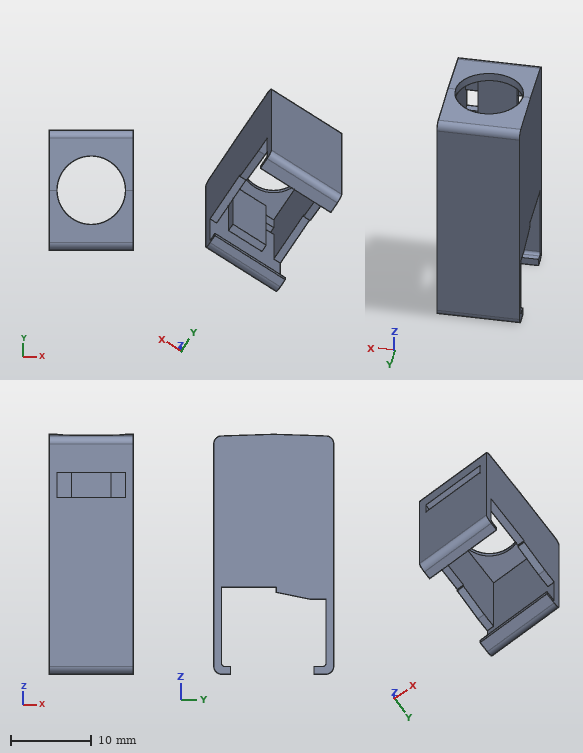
import cadquery as cq

width = 10.5
depth = 15.0
height = 30.0
wall = 1.0
shoulder_height = 29.75
outer_radius = wall
inner_radius = 0.4

back_hook_tip = 5.0
front_hook_tip = -5.4
mouth_high = 10.85
mouth_low = 9.35
slope_top = 10.23
slope_start_y = 4.55
step_y = 0.3

window_bottom = 22.1
window_height = 3.1
rib_width = 4.98
rib_thickness = wall

inner_x = width / 2 - wall
inner_y = depth / 2 - wall
cavity_top = shoulder_height - wall
hole_radius = inner_x


def extrude_across(points, length):
    """Extrude a YZ outline symmetrically about X = 0."""
    return cq.Workplane("YZ").polyline(points).close().extrude(length / 2, both=True)


def make_body():
    """Block with a slightly ridged top and rounded long edges."""
    outline = [
        (-depth / 2, 0),
        (depth / 2, 0),
        (depth / 2, shoulder_height),
        (0, height),
        (-depth / 2, shoulder_height),
    ]
    body = extrude_across(outline, width)
    return body.edges("|X and (<Y or >Y)").fillet(outer_radius)


def make_mouth():
    """Stepped opening through both side walls, above the two hooks."""
    outline = [
        (-inner_y, wall),
        (inner_y, wall),
        (inner_y, mouth_low),
        (slope_start_y, mouth_low),
        (step_y, slope_top),
        (step_y, mouth_high),
        (-inner_y, mouth_high),
    ]
    mouth = extrude_across(outline, width)
    return mouth.faces("<Z").edges("|X").fillet(inner_radius)


def make_hook_gap():
    """Gap between the hook tips at the base."""
    outline = [
        (front_hook_tip, 0),
        (back_hook_tip, 0),
        (back_hook_tip, 2 * wall),
        (front_hook_tip, 2 * wall),
    ]
    return extrude_across(outline, width)


def make_cavity():
    """Rectangular interior, leaving a rib on the inside of the front wall."""
    cavity_height = cavity_top - mouth_low
    cavity = (
        cq.Workplane("XY", origin=(0, 0, mouth_low))
        .rect(2 * inner_x, 2 * inner_y)
        .extrude(cavity_height)
    )
    rib_height = cavity_top - mouth_high
    rib = (
        cq.Workplane("XY", origin=(0, -inner_y + rib_thickness / 2, mouth_high))
        .rect(rib_width, rib_thickness)
        .extrude(rib_height)
    )
    return cavity.cut(rib)


def make_top_hole():
    """Round opening through the top plate."""
    return cq.Workplane("XY", origin=(0, 0, cavity_top)).circle(hole_radius).extrude(2 * wall)


def make_window():
    """Rectangular opening through the front wall, as wide as the interior."""
    return cq.Workplane("XY").box(2 * inner_x, wall, window_height).translate(
        (0, -depth / 2 + wall / 2, window_bottom + window_height / 2)
    )


result = make_body()
for opening in (make_mouth(), make_hook_gap(), make_cavity(), make_top_hole(), make_window()):
    result = result.cut(opening)